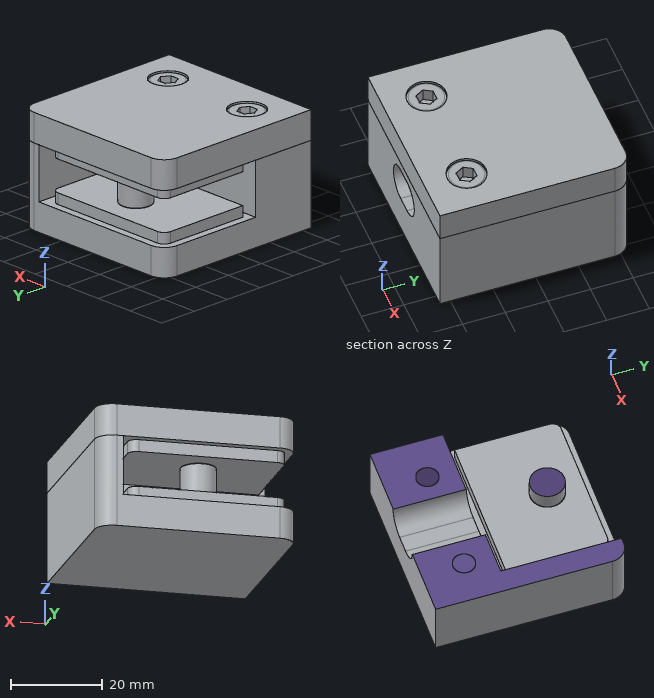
import cadquery as cq


SIDE = 45
HEIGHT = 28.0
CORNER_RADIUS = 4.0

COVER_THICKNESS = 7.25
FLOOR_THICKNESS = COVER_THICKNESS
COVER_BOTTOM = HEIGHT - COVER_THICKNESS

POCKET_FRONT = 17.0
WALL_THICKNESS = 5.5
POCKET_WIDTH = SIDE - WALL_THICKNESS
POCKET_LENGTH = SIDE - POCKET_FRONT
POCKET_HEIGHT = COVER_BOTTOM - FLOOR_THICKNESS

SLOT_WIDTH = 13.0
SLOT_HEIGHT = 9

PAD_THICKNESS = 2.75
PAD_MARGIN = 2.0
PAD_WIDTH = POCKET_WIDTH - 2 * PAD_MARGIN
PAD_LENGTH = POCKET_LENGTH - 2 * PAD_MARGIN
PAD_CORNER_RADIUS = CORNER_RADIUS - PAD_MARGIN
LOWER_PAD_TOP = FLOOR_THICKNESS + PAD_THICKNESS
UPPER_PAD_BOTTOM = COVER_BOTTOM - PAD_THICKNESS

PIN_DIAMETER = 8.0
PIN_X = POCKET_WIDTH / 2
PIN_Y = 34.45
PIN_EDGE_CHAMFER = 0.2

SCREW_INSET = 10.0
SCREW_PLACES = [(SCREW_INSET, SCREW_INSET), (SIDE - SCREW_INSET, SCREW_INSET)]
HEAD_DIAMETER = 9
HEAD_HEIGHT = 5.0
HEAD_EDGE_RADIUS = 0.5
HEAD_RECESS = 0.25
HEAD_TOP = HEIGHT - HEAD_RECESS
HEAD_BOTTOM = HEAD_TOP - HEAD_HEIGHT
SHANK_DIAMETER = 5.0
SHANK_LENGTH = 16.0
SOCKET_ACROSS_CORNERS = 4.6
SOCKET_DEPTH = 3.0


def block(width, length, height, x, y, z):
    """Box whose front left bottom corner is at (x, y, z)."""
    return cq.Workplane("XY").box(width, length, height, centered=False).translate((x, y, z))


def cylinders(diameter, bottom, height, places):
    """Upright cylinders of one size, one at each place."""
    return cq.Workplane("XY").workplane(offset=bottom).pushPoints(places).circle(diameter / 2).extrude(height)


def make_base():
    base = block(SIDE, SIDE, COVER_BOTTOM, 0, 0, 0).edges("|Z and >Y").fillet(CORNER_RADIUS)
    pocket = block(POCKET_WIDTH, POCKET_LENGTH, POCKET_HEIGHT, 0, POCKET_FRONT, FLOOR_THICKNESS)
    slot = (
        cq.Workplane("XZ")
        .center(SIDE / 2, HEIGHT / 2)
        .slot2D(SLOT_WIDTH, SLOT_HEIGHT)
        .extrude(-POCKET_FRONT)
    )
    screw_holes = cylinders(SHANK_DIAMETER, HEAD_BOTTOM - SHANK_LENGTH, SHANK_LENGTH, SCREW_PLACES)
    return base.cut(pocket).cut(slot).cut(screw_holes)


def make_cover():
    cover = block(SIDE, SIDE, COVER_THICKNESS, 0, 0, COVER_BOTTOM).edges("|Z and >Y").fillet(CORNER_RADIUS)
    counterbores = cylinders(HEAD_DIAMETER, HEAD_BOTTOM, HEIGHT - HEAD_BOTTOM, SCREW_PLACES)
    screw_holes = cylinders(SHANK_DIAMETER, COVER_BOTTOM, COVER_THICKNESS, SCREW_PLACES)
    return cover.cut(counterbores).cut(screw_holes)


def make_pad(bottom):
    pad = block(PAD_WIDTH, PAD_LENGTH, PAD_THICKNESS, PAD_MARGIN, POCKET_FRONT + PAD_MARGIN, bottom)
    return pad.edges("|Z and >Y").fillet(PAD_CORNER_RADIUS)


def make_stop_pin():
    pin = cylinders(PIN_DIAMETER, LOWER_PAD_TOP, UPPER_PAD_BOTTOM - LOWER_PAD_TOP, [(PIN_X, PIN_Y)])
    return pin.faces("<Z or >Z").chamfer(PIN_EDGE_CHAMFER)


def make_screw(place):
    head = cylinders(HEAD_DIAMETER, HEAD_BOTTOM, HEAD_HEIGHT, [place])
    head = head.faces(">Z").edges().fillet(HEAD_EDGE_RADIUS)
    shank = cylinders(SHANK_DIAMETER, HEAD_BOTTOM - SHANK_LENGTH, SHANK_LENGTH, [place])
    socket = (
        cq.Workplane("XY")
        .workplane(offset=HEAD_TOP - SOCKET_DEPTH)
        .center(*place)
        .polygon(6, SOCKET_ACROSS_CORNERS)
        .extrude(SOCKET_DEPTH)
    )
    return head.union(shank).cut(socket)


base = make_base()
cover = make_cover()
pads = [make_pad(bottom) for bottom in (FLOOR_THICKNESS, UPPER_PAD_BOTTOM)]
stop_pin = make_stop_pin()
screws = [make_screw(place) for place in SCREW_PLACES]

result = cq.Compound.makeCompound(
    [
        base.val(),
        cover.val(),
        *[pad.val() for pad in pads],
        stop_pin.val(),
        *[screw.val() for screw in screws],
    ]
)